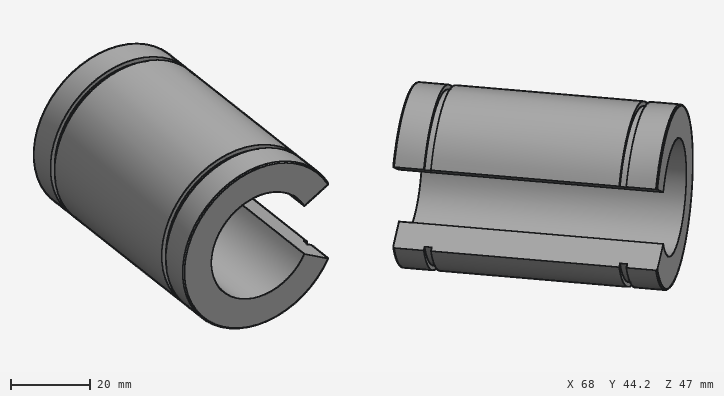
import cadquery as cq
import math

length = 68.0
outer_diameter = 47.0
bore_diameter = 30.0
end_chamfer = 0.35

groove_diameter = 44.55
groove_width = 1.85
groove_end_distance = 7.95

opening_angle = 56.6


def cylinder_along_x(diameter, start, width):
    """Solid cylinder on the X axis, beginning at x = start."""
    return cq.Workplane("YZ", origin=(start, 0, 0)).circle(diameter / 2).extrude(width)


def groove_ring(start):
    """Ring of material to remove for one retaining-ring groove."""
    blank = cylinder_along_x(outer_diameter + 0.7, start, groove_width)
    return blank.cut(cylinder_along_x(groove_diameter, start, groove_width))


def opening_wedge():
    """Triangular prism with its apex on the axis, reaching past the outer wall."""
    reach = outer_diameter
    half_height = reach * math.tan(math.radians(opening_angle / 2))
    return (
        cq.Workplane("YZ", origin=(-length / 2, 0, 0))
        .polyline([(0, 0), (reach, -half_height), (reach, half_height)])
        .close()
        .extrude(length)
    )


sleeve = cylinder_along_x(outer_diameter, -length / 2, length)
sleeve = sleeve.faces("<X or >X").chamfer(end_chamfer)
sleeve = sleeve.cut(cylinder_along_x(bore_diameter, -length / 2, length))

first_groove_start = -length / 2 + groove_end_distance
second_groove_start = length / 2 - groove_end_distance - groove_width
for groove_start in (first_groove_start, second_groove_start):
    sleeve = sleeve.cut(groove_ring(groove_start))

result = sleeve.cut(opening_wedge())